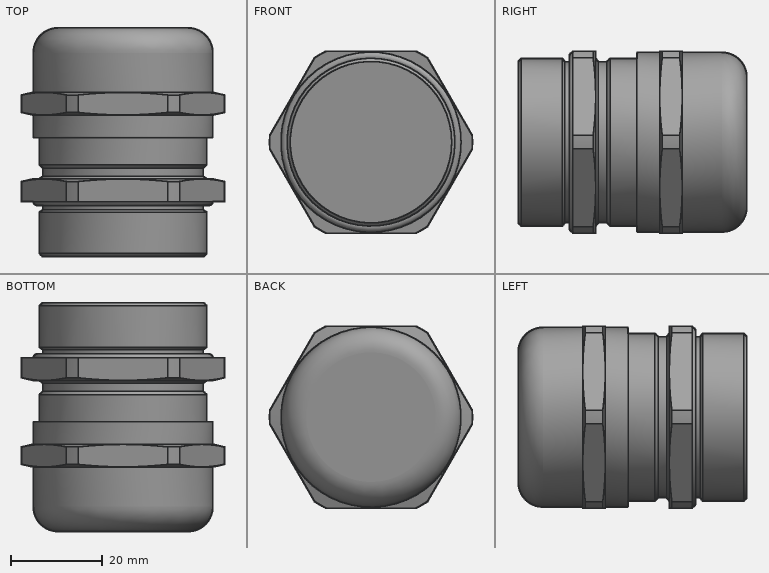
import cadquery as cq
import math

total_length = 50.25
across_flats = 40.0
corner_diameter = 44.6

cap_radius = 19.75
thread_radius = 36.85 / 2
relief_radius = 35.35 / 2
relief_taper = thread_radius - relief_radius
end_chamfer = 0.7
relief_runout = 0.55

entry_thread_end = 9.75
body_hex_start = 12.05
ring_center = 12.25
hex_width = 5.05
body_thread_start = 20.2
cap_start = 26.1
cap_hex_start = 31.05
dome_fillet = 5.55
rim_fillet = 0.3

ring_outer_radius = 39.6 / 2
hex_chamfer_depth = 0.6


def cylinder(radius, start, end):
    """Solid round bar along Y from start to end."""
    return cq.Workplane("XZ", origin=(0, start, 0)).circle(radius).extrude(start - end)


def hexagon(start, chamfer_both_ends):
    """Hexagon with flats facing +Z and -Z, trimmed by a turned, chamfered blank."""
    end = start + hex_width
    corner_radius = corner_diameter / 2
    prism = (
        cq.Workplane("XZ", origin=(0, start, 0))
        .polygon(6, across_flats / math.cos(math.pi / 6))
        .extrude(-hex_width)
    )
    blank = cq.Workplane("XY").moveTo(0, start)
    if chamfer_both_ends:
        blank = blank.lineTo(cap_radius, start).lineTo(corner_radius, start + hex_chamfer_depth)
    else:
        blank = blank.lineTo(corner_radius, start)
    blank = (
        blank.lineTo(corner_radius, end - hex_chamfer_depth)
        .lineTo(cap_radius, end)
        .lineTo(0, end)
        .close()
        .revolve(360, (0, 0, 0), (0, 1, 0))
    )
    return prism.intersect(blank)


body_hex_end = body_hex_start + hex_width
body = (
    cq.Workplane("XY")
    .lineTo(thread_radius - end_chamfer, 0)
    .lineTo(thread_radius, end_chamfer)
    .lineTo(thread_radius, entry_thread_end)
    .lineTo(relief_radius, entry_thread_end + relief_runout)
    .lineTo(relief_radius, body_hex_start)
    .lineTo(thread_radius, body_hex_start)
    .lineTo(thread_radius, body_hex_end)
    .lineTo(relief_radius, body_hex_end + relief_runout)
    .lineTo(relief_radius, body_thread_start - relief_taper)
    .lineTo(thread_radius, body_thread_start)
    .lineTo(thread_radius, cap_start + rim_fillet)
    .lineTo(0, cap_start + rim_fillet)
    .close()
    .revolve(360, (0, 0, 0), (0, 1, 0))
)

ring_section_radius = (ring_outer_radius - relief_radius) / 2
ring_center_radius = relief_radius + ring_section_radius
ring = (
    cq.Workplane("XY")
    .moveTo(ring_center_radius, ring_center)
    .circle(ring_section_radius)
    .revolve(360, (0, 0, 0), (0, 1, 0))
)

cap = cylinder(cap_radius, cap_start, total_length)
cap = cap.faces(">Y").edges().fillet(dome_fillet)
cap = cap.faces("<Y").edges().fillet(rim_fillet)

body_hex = hexagon(body_hex_start, chamfer_both_ends=False)
cap_hex = hexagon(cap_hex_start, chamfer_both_ends=True)

result = body.union(ring).union(body_hex).union(cap).union(cap_hex)